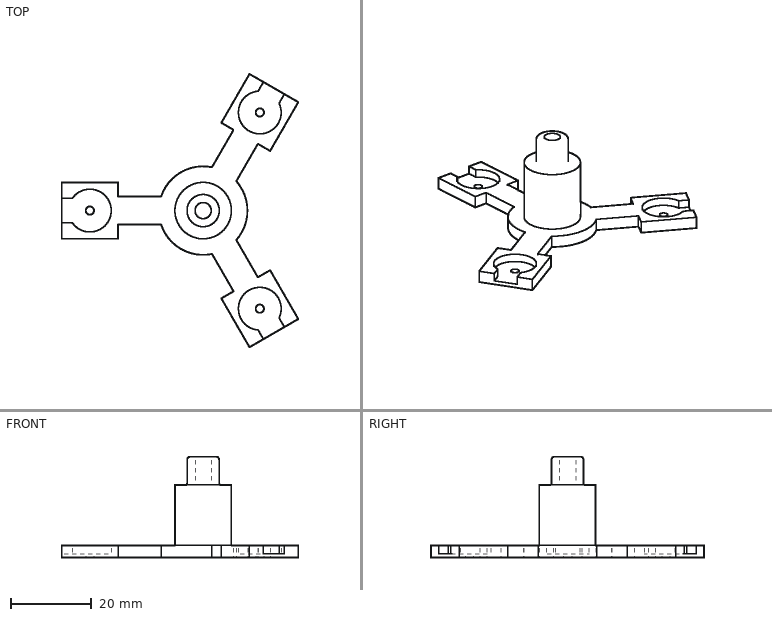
import cadquery as cq

plate_thickness = 3.0
hub_diameter = 22.0
arm_count = 3
full_turn = 360.0
arm_width = 7.0
arm_reach = 35.06
pad_side = 14.0
first_arm_angle = 180.0

pocket_diameter = 10.6
pocket_depth = 2.0
slot_width = 6.0
pad_hole_diameter = 2.0

post_diameter = 14.0
post_height = 15.0
pin_diameter = 8.0
pin_top_fillet = 0.8
pin_root_fillet = 0.3
overall_height = 25.0
bore_diameter = 4.0

pad_center = arm_reach - pad_side / 2
pocket_floor = plate_thickness - pocket_depth
post_top = plate_thickness + post_height
pin_height = overall_height - post_top
bore_depth = pin_height


def cylinder(diameter, height, x=0.0, z=0.0):
    """Vertical cylinder at x along the X axis, with its base at height z."""
    return cq.Workplane("XY", origin=(x, 0, z)).circle(diameter / 2).extrude(height)


def bar(x_start, x_end, width, z, height):
    """Block centred on the X axis, running from x_start to x_end."""
    length = x_end - x_start
    middle = (x_start + x_end) / 2
    return cq.Workplane("XY", origin=(middle, 0, z)).rect(length, width).extrude(height)


def make_arm():
    """Arm along +X with its square pad, recess and through hole."""
    arm = bar(0, pad_center, arm_width, 0, plate_thickness)
    pad = bar(arm_reach - pad_side, arm_reach, pad_side, 0, plate_thickness)
    pocket = cylinder(pocket_diameter, pocket_depth, pad_center, pocket_floor)
    slot = bar(pad_center, arm_reach, slot_width, pocket_floor, pocket_depth)
    hole = cylinder(pad_hole_diameter, plate_thickness, pad_center)
    return arm.union(pad).cut(pocket).cut(slot).cut(hole)


def make_plate():
    """Round hub with equally spaced arms."""
    plate = cylinder(hub_diameter, plate_thickness)
    arm = make_arm()
    for index in range(arm_count):
        angle = first_arm_angle + index * full_turn / arm_count
        plate = plate.union(arm.rotate((0, 0, 0), (0, 0, 1), angle))
    return plate


def make_post():
    """Stepped post: filleted pin root, rounded pin top and a blind bore."""
    post = cylinder(post_diameter, post_top)
    pin = cylinder(pin_diameter, pin_height, z=post_top)
    bore = cylinder(bore_diameter, bore_depth, z=overall_height - bore_depth)
    post = post.union(pin)
    pin_ends = post.edges("%CIRCLE").edges(cq.selectors.RadiusNthSelector(0))
    post = pin_ends.edges("<Z").fillet(pin_root_fillet)
    post = post.faces(">Z").edges().fillet(pin_top_fillet)
    return post.cut(bore)


result = make_plate().union(make_post())